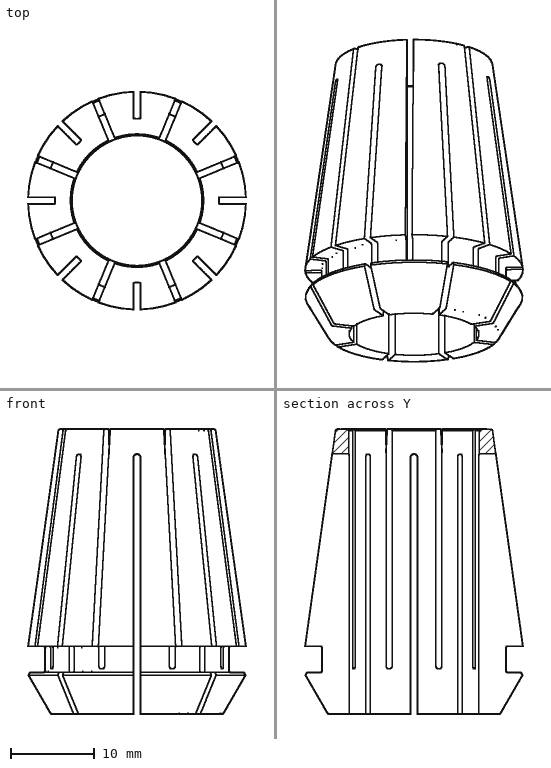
import cadquery as cq
import math


height = 34.0
bore_diameter = 15.5
bore_chamfer = 0.2

taper_large_radius = 13.0
taper_half_angle = 8.0
taper_base_z = 8.1
top_fillet = 0.25

groove_radius = 11.0
groove_base_z = 5.0
groove_fillet = 0.15

nose_max_radius = 12.95
nose_half_angle = 30.0
nose_rim_z = 4.65
nose_rim_chamfer_width = 0.2
nose_end_fillet = 0.25

slots_per_end = 8
slot_width = 0.8
lower_slot_top_z = 31.0
upper_slot_bottom_z = 5.4
slot_overrun = 1.0

bore_radius = bore_diameter / 2
taper_length = height - taper_base_z
taper_small_radius = taper_large_radius - taper_length * math.tan(math.radians(taper_half_angle))
nose_small_radius = nose_max_radius - nose_rim_z * math.tan(math.radians(nose_half_angle))
slot_pitch = 360.0 / slots_per_end
slot_reach = taper_large_radius + slot_overrun


def make_body():
    """Revolved collet blank with its bore, edge breaks and groove fillets."""
    smallest = cq.selectors.RadiusNthSelector(0)
    largest = cq.selectors.RadiusNthSelector(-1)
    body = (
        cq.Workplane("XZ")
        .moveTo(bore_radius, 0)
        .lineTo(nose_small_radius, 0)
        .lineTo(nose_max_radius, nose_rim_z)
        .lineTo(nose_max_radius - nose_rim_chamfer_width, groove_base_z)
        .lineTo(groove_radius, groove_base_z)
        .lineTo(groove_radius, taper_base_z)
        .lineTo(taper_large_radius, taper_base_z)
        .lineTo(taper_small_radius, height)
        .lineTo(bore_radius, height)
        .close()
        .revolve(360, (0, 0, 0), (0, 1, 0))
    )
    body = body.faces(">Z").edges(smallest).chamfer(bore_chamfer)
    groove_corners = cq.selectors.BoxSelector(
        (-taper_large_radius, -taper_large_radius, groove_base_z - groove_fillet),
        (taper_large_radius, taper_large_radius, taper_base_z + groove_fillet),
        boundingbox=True,
    )
    body = body.edges(groove_corners).edges("%CIRCLE").edges(smallest).fillet(groove_fillet)
    body = body.faces(">Z").edges(largest).fillet(top_fillet)
    return body.faces("<Z").edges(largest).fillet(nose_end_fillet)


def make_slot(round_end_z, open_end_z, angle):
    """Radial cutter running from its round end out through one end face."""
    half_width = slot_width / 2
    arc_rise = math.copysign(half_width, open_end_z - round_end_z)
    arc_start_z = round_end_z + arc_rise
    return (
        cq.Workplane("YZ")
        .moveTo(-half_width, open_end_z)
        .lineTo(-half_width, arc_start_z)
        .threePointArc((0, round_end_z), (half_width, arc_start_z))
        .lineTo(half_width, open_end_z)
        .close()
        .extrude(slot_reach)
        .rotate((0, 0, 0), (0, 0, 1), angle)
    )


def cut_slots(body):
    """Cut the slots from each end, the upper set halfway between the lower."""
    for index in range(slots_per_end):
        lower_angle = index * slot_pitch
        upper_angle = lower_angle + slot_pitch / 2
        body = body.cut(make_slot(lower_slot_top_z, -slot_overrun, lower_angle))
        body = body.cut(make_slot(upper_slot_bottom_z, height + slot_overrun, upper_angle))
    return body


result = cut_slots(make_body())